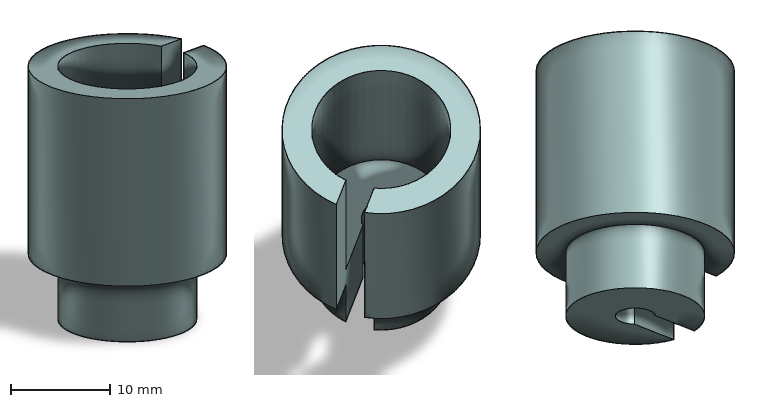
import cadquery as cq

total_height = 27.0
body_diameter = 20.0
spigot_diameter = 14.0
spigot_height = 7.0
bore_diameter = spigot_diameter
hole_diameter = 4.0
slot_width = 3.0

wall = (body_diameter - bore_diameter) / 2
body_height = total_height - spigot_height
bore_depth = body_height - wall


def cylinder(diameter, height, base_z):
    """Vertical cylinder on the Z axis, standing on base_z."""
    return cq.Workplane("XY", origin=(0, 0, base_z)).circle(diameter / 2).extrude(height)


spigot = cylinder(spigot_diameter, spigot_height, 0)
body = cylinder(body_diameter, body_height, spigot_height)

bore = cylinder(bore_diameter, bore_depth, total_height - bore_depth)
hole = cylinder(hole_diameter, total_height, 0)

slot = cq.Workplane("XY").box(
    slot_width, body_diameter, total_height, centered=(True, False, False)
)

result = spigot.union(body).cut(bore).cut(hole).cut(slot)